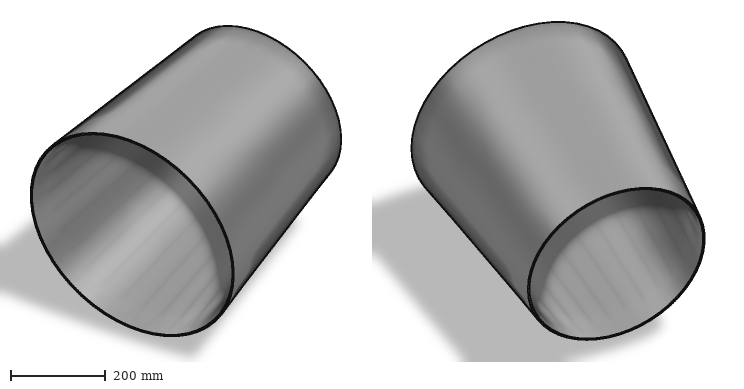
import cadquery as cq

large_diameter = 508.0
small_diameter = 408.0
length = 508.0
wall = 4.0

large_radius = large_diameter / 2
small_radius = small_diameter / 2
front_y = -length / 2
back_y = length / 2


def reducer_shell():
    """Revolve the slanted wall section about the Y axis."""
    wall_section = [
        (large_radius - wall, front_y),
        (large_radius, front_y),
        (small_radius, back_y),
        (small_radius - wall, back_y),
    ]
    return cq.Workplane("XY").polyline(wall_section).close().revolve(360, (0, 0), (0, 1))


result = reducer_shell()